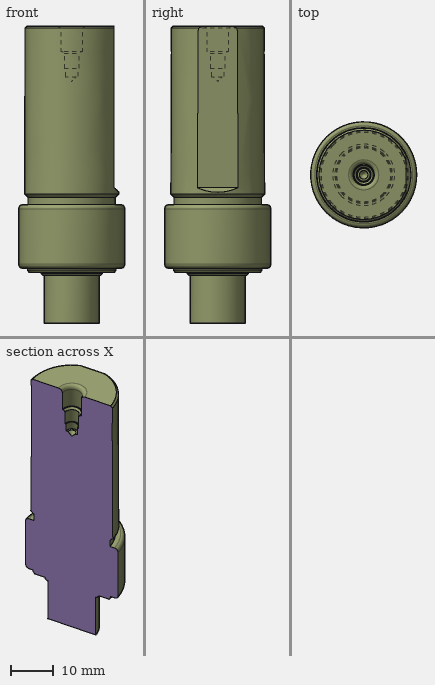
import cadquery as cq

TOTAL_LENGTH = 70.0
COLLAR_BOTTOM = 13.0
COLLAR_TOP = 28.0
SHANK_BOTTOM = 30.5

PIN_RADIUS = 13.0 / 2
PIN_CHAMFER = 0.15
PIN_TIP_RADIUS = PIN_RADIUS - PIN_CHAMFER
HUB_BOTTOM = 11.3
HUB_RADIUS = 14.5 / 2
HUB_CHAMFER = 0.5
SEAT_BOTTOM = 12.0
SEAT_RADIUS = 20.92 / 2
SEAT_END_RADIUS = 20.0 / 2
SEAT_CHAMFER_HEIGHT = 0.6

COLLAR_RADIUS = 25.0 / 2
COLLAR_FILLET = 1.0

NECK_RADIUS = 10.3
SHANK_BASE_RADIUS = 11.1
SHANK_TOP_RADIUS = 11.0
SHANK_CHAMFER = 0.5
NECK_CONE_HEIGHT = SHANK_BASE_RADIUS - NECK_RADIUS

FLAT_OFFSET = 10.0
FLAT_BOTTOM = 32.0

HOLE_MOUTH_RADIUS = 7.1 / 2
HOLE_RADIUS = 5.0 / 2
HOLE_DEPTH = 6.0
STEP_RADIUS = 3.5 / 2
STEP_CONE_MOUTH_RADIUS = 4.5 / 2
STEP_DEPTH = 10.0
PILOT_RADIUS = 3.0 / 2
PILOT_DEPTH = 12.0
TIP_RADIUS = 2.0 / 2


def make_turned_body():
    """Revolved outline of the pin, seat, collar, neck and shank."""
    outline = (
        cq.Workplane("XZ")
        .moveTo(0, 0)
        .lineTo(PIN_TIP_RADIUS, 0)
        .lineTo(PIN_RADIUS, PIN_CHAMFER)
        .lineTo(PIN_RADIUS, HUB_BOTTOM)
        .lineTo(HUB_RADIUS - HUB_CHAMFER, HUB_BOTTOM)
        .lineTo(HUB_RADIUS, HUB_BOTTOM + HUB_CHAMFER)
        .lineTo(HUB_RADIUS, SEAT_BOTTOM)
        .lineTo(SEAT_END_RADIUS, SEAT_BOTTOM)
        .lineTo(SEAT_RADIUS, SEAT_BOTTOM + SEAT_CHAMFER_HEIGHT)
        .lineTo(SEAT_RADIUS, COLLAR_BOTTOM)
        .lineTo(COLLAR_RADIUS - COLLAR_FILLET, COLLAR_BOTTOM)
        .tangentArcPoint((COLLAR_FILLET, COLLAR_FILLET))
        .lineTo(COLLAR_RADIUS, COLLAR_TOP - COLLAR_FILLET)
        .tangentArcPoint((-COLLAR_FILLET, COLLAR_FILLET))
        .lineTo(NECK_RADIUS, COLLAR_TOP)
        .lineTo(NECK_RADIUS, SHANK_BOTTOM - NECK_CONE_HEIGHT)
        .lineTo(SHANK_BASE_RADIUS, SHANK_BOTTOM)
        .lineTo(SHANK_TOP_RADIUS, TOTAL_LENGTH - SHANK_CHAMFER)
        .lineTo(SHANK_TOP_RADIUS - SHANK_CHAMFER, TOTAL_LENGTH)
        .lineTo(0, TOTAL_LENGTH)
        .close()
    )
    return outline.revolve(360, (0, 0, 0), (0, 1, 0))


def make_flat_cutter():
    """Block beyond the flat, with a 45 degree lower end."""
    reach = COLLAR_RADIUS - FLAT_OFFSET
    return (
        cq.Workplane("XZ")
        .moveTo(FLAT_OFFSET, FLAT_BOTTOM)
        .lineTo(FLAT_OFFSET, TOTAL_LENGTH)
        .lineTo(FLAT_OFFSET + reach, TOTAL_LENGTH)
        .lineTo(FLAT_OFFSET + reach, FLAT_BOTTOM - reach)
        .close()
        .extrude(COLLAR_RADIUS, both=True)
    )


def make_centre_hole():
    """Revolved hole: rounded mouth, bore, stepped cone and pointed pilot."""
    mouth_rounding = HOLE_MOUTH_RADIUS - HOLE_RADIUS
    step_cone_height = STEP_CONE_MOUTH_RADIUS - STEP_RADIUS
    return (
        cq.Workplane("XZ")
        .moveTo(0, TOTAL_LENGTH)
        .lineTo(HOLE_MOUTH_RADIUS, TOTAL_LENGTH)
        .radiusArc((HOLE_RADIUS, TOTAL_LENGTH - mouth_rounding), -mouth_rounding)
        .lineTo(HOLE_RADIUS, TOTAL_LENGTH - HOLE_DEPTH)
        .lineTo(STEP_CONE_MOUTH_RADIUS, TOTAL_LENGTH - HOLE_DEPTH)
        .lineTo(STEP_RADIUS, TOTAL_LENGTH - HOLE_DEPTH - step_cone_height)
        .lineTo(STEP_RADIUS, TOTAL_LENGTH - STEP_DEPTH)
        .lineTo(PILOT_RADIUS, TOTAL_LENGTH - STEP_DEPTH)
        .lineTo(PILOT_RADIUS, TOTAL_LENGTH - PILOT_DEPTH)
        .lineTo(TIP_RADIUS, TOTAL_LENGTH - PILOT_DEPTH)
        .lineTo(0, TOTAL_LENGTH - PILOT_DEPTH - TIP_RADIUS)
        .close()
        .revolve(360, (0, 0, 0), (0, 1, 0))
    )


result = make_turned_body().cut(make_flat_cutter()).cut(make_centre_hole())